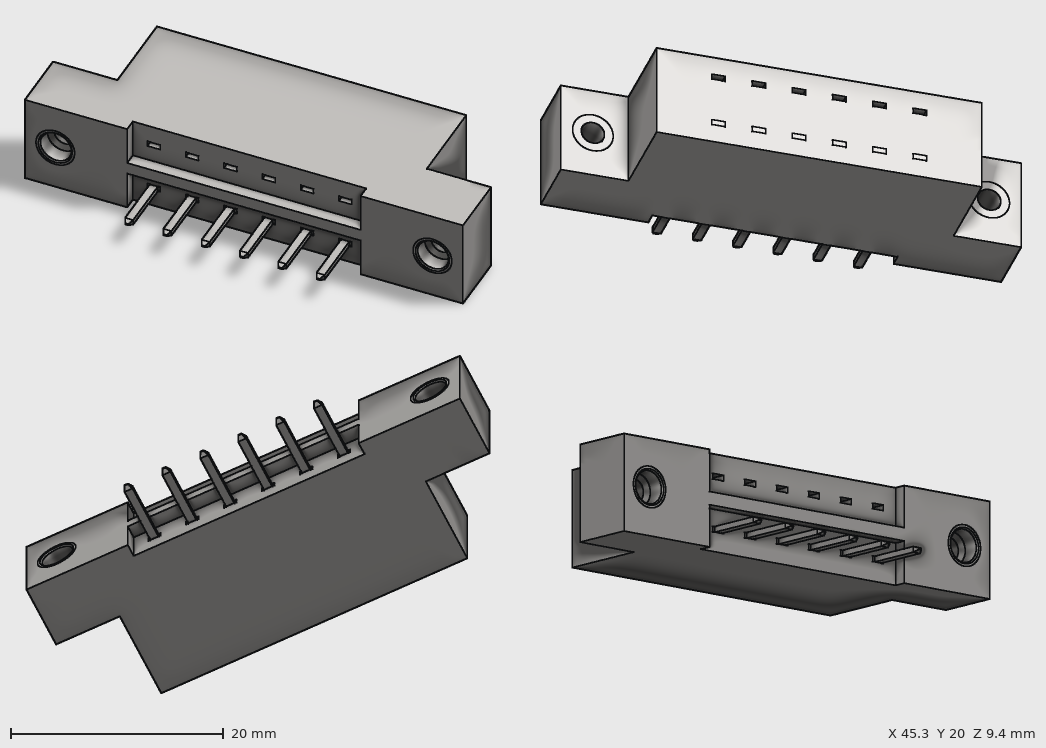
import cadquery as cq

total_length = 45.31
total_depth = 20.02
height = 9.4

body_length = 32.0
body_depth = 15.24
ear_depth = 6.35

recess_length = 24.13
recess_depth = 1.27
rib_height = 1.27

contact_count = 6
contact_pitch = 3.96
row_offset = 2.54
slot_width = 1.32
slot_height = 0.55

pin_width = 0.84
pin_reach = total_depth - body_depth
pin_shoulder_depth = 0.5
pin_tip_length = 0.5
pin_tip_width = 0.35
pin_tip_height = 0.15

eyelet_spacing = 39.0
eyelet_radius = 2.0
rim_radius = 1.75
rim_depth = 0.15
counterbore_radius = 1.6
counterbore_depth = 1.75
bore_radius = 1.14

contact_xs = [(i - (contact_count - 1) / 2) * contact_pitch for i in range(contact_count)]
eyelet_xs = [-eyelet_spacing / 2, eyelet_spacing / 2]


def box_along_y(width, tall, y_start, y_end, x=0, z=0):
    """Box centred on (x, z) that runs from y_start to y_end."""
    length = y_end - y_start
    return cq.Workplane("XY").box(width, length, tall).translate((x, (y_start + y_end) / 2, z))


def make_housing():
    """T-shaped block with two front recesses, two rows of slots and an eyelet hole in each ear."""
    housing = box_along_y(total_length, height, 0, ear_depth)
    housing = housing.union(box_along_y(body_length, height, 0, body_depth))

    recess_height = (height - rib_height) / 2
    recess_z = (rib_height + recess_height) / 2
    for side in (1, -1):
        housing = housing.cut(box_along_y(recess_length, recess_height, 0, recess_depth, z=side * recess_z))

    for x in contact_xs:
        for z in (row_offset, -row_offset):
            housing = housing.cut(box_along_y(slot_width, slot_height, recess_depth, body_depth, x, z))

    for x in eyelet_xs:
        hole = cq.Workplane("XZ").center(x, 0).circle(eyelet_radius).extrude(-ear_depth)
        housing = housing.cut(hole)
    return housing


def make_pin(x):
    """Flat contact that fills its slot, narrows at the recess floor and ends in a tapered tip."""
    tip_start = pin_tip_length - pin_reach
    half_slot = slot_width / 2
    half_pin = pin_width / 2
    shoulder_y = recess_depth + pin_shoulder_depth
    blade_outline = [
        (-half_slot, body_depth),
        (-half_slot, shoulder_y),
        (-half_pin, recess_depth),
        (-half_pin, tip_start),
        (half_pin, tip_start),
        (half_pin, recess_depth),
        (half_slot, shoulder_y),
        (half_slot, body_depth),
    ]
    blade = cq.Workplane("XY").polyline(blade_outline).close().extrude(slot_height / 2, both=True)
    tip = (
        cq.Workplane("XZ", origin=(0, tip_start, 0))
        .rect(pin_width, slot_height)
        .workplane(offset=pin_tip_length)
        .rect(pin_tip_width, pin_tip_height)
        .loft(ruled=True)
    )
    return blade.union(tip).translate((x, 0, -row_offset))


def make_eyelet(x):
    """Sleeve through an ear with a chamfered rim and a counterbore that narrows at 45 degrees to the bore."""
    bore_start = counterbore_depth + counterbore_radius - bore_radius
    wall_profile = [
        (eyelet_radius, 0),
        (rim_radius, 0),
        (counterbore_radius, rim_depth),
        (counterbore_radius, counterbore_depth),
        (bore_radius, bore_start),
        (bore_radius, ear_depth),
        (eyelet_radius, ear_depth),
    ]
    eyelet = cq.Workplane("XY").polyline(wall_profile).close().revolve(360, (0, 0, 0), (0, 1, 0))
    return eyelet.translate((x, 0, 0))


housing = make_housing()
pins = [make_pin(x) for x in contact_xs]
eyelets = [make_eyelet(x) for x in eyelet_xs]

result = cq.Compound.makeCompound(
    [housing.val()]
    + [pin.val() for pin in pins]
    + [eyelet.val() for eyelet in eyelets]
)